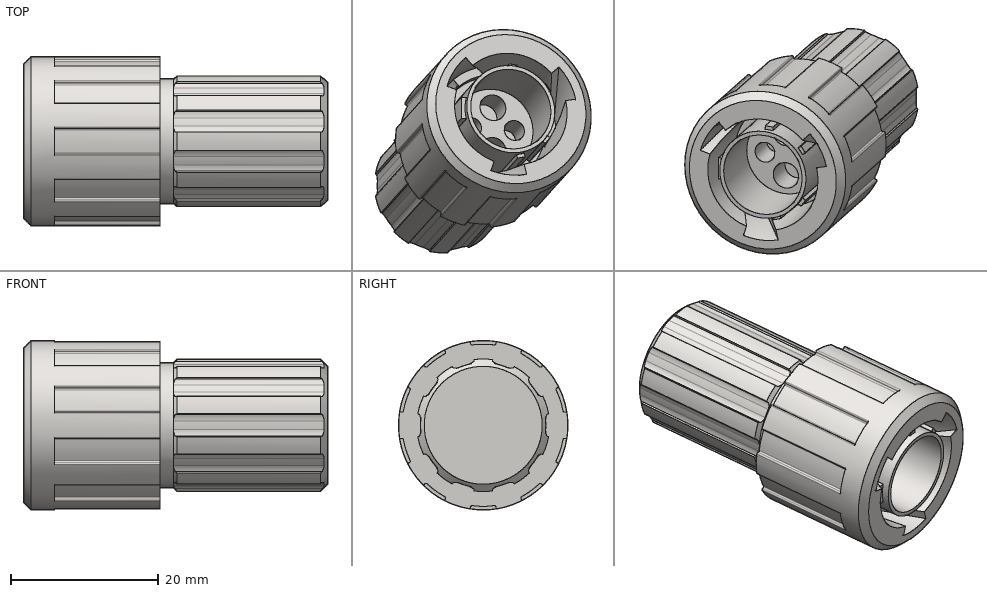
import cadquery as cq
import math


nut_length = 18.5
nut_radius = 23 / 2
nut_chamfer = 1.0

total_length = 41.25
neck_radius = 17 / 2
grip_start = 20.3
grip_radius = 18 / 2
grip_front_chamfer = grip_radius - neck_radius
grip_rear_chamfer = 1.0

grip_count = 10
grip_pitch = 360 / grip_count
pocket_start = 4.2
pocket_floor_radius = 11.0
pocket_half_width = 1.72
pocket_round = 0.21
pocket_first_angle = grip_pitch / 2
flute_relief = 0.01
flute_floor_radius = neck_radius - flute_relief
flute_floor_half_width = 0.6
flute_wall_half_width = 1.46
flute_wall_foot_rise = 0.16
flute_rim_half_width = 1.57
flute_first_angle = 0

cavity_depth = 10.0
cavity_mouth_radius = 7.87
cavity_floor_radius = 7.26
tube_outer_radius = 12.3 / 2
tube_inner_radius = 11.2 / 2

slot_count = 3
slot_first_angle = 31.8
slot_span = 31.0
slot_twist = 31.0
slot_depth = 9.0
slot_mouth_radius = 18.6 / 2
slot_end_radius = 8.55
slot_inner_radius = 6.9

key_front = 1.0
key_outer_radius = 6.65
narrow_key_width = 1.1
narrow_key_angles = (95.0, 145.0, 215.0, 255.0)
wide_key_width = 3.0
wide_key_angle = 0

contact_pitch_radius = 3.0
contact_depth = 5.0
large_contact_diameter = 3.6
small_contact_diameter = 2.8

clearance = 1.0


def height_on_circle(radius, half_width):
    """Distance from the axis to a chord of the given half width."""
    return math.sqrt(radius**2 - half_width**2)


def polar(radius, angle):
    """Point in the YZ plane, with the angle measured from +Y towards +Z."""
    return (radius * math.cos(math.radians(angle)), radius * math.sin(math.radians(angle)))


def place(shape, angle):
    """Turn a shape built around +Y to its angle about the X axis."""
    return shape.rotate((0, 0, 0), (1, 0, 0), angle)


def cut_around(body, cutter, first_angle, count):
    for index in range(count):
        body = body.cut(place(cutter, first_angle + index * 360 / count))
    return body


def revolve_about_x(outline):
    return cq.Workplane("XY").polyline(outline).close().revolve(360, (0, 0, 0), (1, 0, 0))


def make_nut_and_neck():
    outline = [
        (0, 0),
        (0, nut_radius - nut_chamfer),
        (nut_chamfer, nut_radius),
        (nut_length, nut_radius),
        (nut_length, neck_radius),
        (grip_start, neck_radius),
        (grip_start, 0),
    ]
    return revolve_about_x(outline)


def make_nut_pocket():
    """Grip pocket with rounded rims and rounded floor corners."""
    floor_half = pocket_half_width - pocket_round
    rim_half = pocket_half_width + pocket_round
    floor_height = height_on_circle(pocket_floor_radius, floor_half)
    rim_height = height_on_circle(nut_radius, rim_half)
    wall_foot = floor_height + pocket_round
    wall_top = rim_height - pocket_round
    diagonal = pocket_round * math.sqrt(0.5)
    outside = nut_radius + clearance
    return (
        cq.Workplane("YZ", origin=(pocket_start, 0, 0))
        .moveTo(floor_height, -floor_half)
        .threePointArc((pocket_floor_radius, 0), (floor_height, floor_half))
        .threePointArc((wall_foot - diagonal, floor_half + diagonal), (wall_foot, pocket_half_width))
        .lineTo(wall_top, pocket_half_width)
        .threePointArc((wall_top + diagonal, rim_half - diagonal), (rim_height, rim_half))
        .lineTo(outside, rim_half)
        .lineTo(outside, -rim_half)
        .lineTo(rim_height, -rim_half)
        .threePointArc((wall_top + diagonal, diagonal - rim_half), (wall_top, -pocket_half_width))
        .lineTo(wall_foot, -pocket_half_width)
        .threePointArc((wall_foot - diagonal, -floor_half - diagonal), (floor_height, -floor_half))
        .close()
        .extrude(nut_length - pocket_start)
    )


def turn(height, offset, angle):
    """Point given by its height and sideways offset in a frame turned to the given angle."""
    centre_y, centre_z = polar(height, angle)
    side_y, side_z = polar(offset, angle + 90)
    return (centre_y + side_y, centre_z + side_z)


def make_grip():
    """Fluted grip: each flute floor runs just below the neck and sweeps up to a steep rim on each side."""
    floor_height = height_on_circle(flute_floor_radius, flute_floor_half_width)
    foot_height = floor_height + flute_wall_foot_rise
    rim_height = height_on_circle(grip_radius, flute_rim_half_width)
    sweep_half = (flute_floor_half_width + flute_wall_half_width) / 2
    sweep_height = floor_height + flute_wall_foot_rise / 4
    section = cq.Workplane("YZ", origin=(grip_start, 0, 0)).moveTo(
        *turn(rim_height, -flute_rim_half_width, flute_first_angle)
    )
    for index in range(grip_count):
        angle = flute_first_angle + index * grip_pitch
        next_angle = angle + grip_pitch
        section = (
            section.lineTo(*turn(foot_height, -flute_wall_half_width, angle))
            .threePointArc(
                turn(sweep_height, -sweep_half, angle), turn(floor_height, -flute_floor_half_width, angle)
            )
            .threePointArc(
                polar(flute_floor_radius, angle), turn(floor_height, flute_floor_half_width, angle)
            )
            .threePointArc(
                turn(sweep_height, sweep_half, angle), turn(foot_height, flute_wall_half_width, angle)
            )
            .lineTo(*turn(rim_height, flute_rim_half_width, angle))
            .threePointArc(
                polar(grip_radius, angle + grip_pitch / 2),
                turn(rim_height, -flute_rim_half_width, next_angle),
            )
        )
    grip = section.close().extrude(total_length - grip_start)
    return grip.cut(make_grip_front_chamfer()).cut(make_grip_rear_chamfer())


def make_grip_front_chamfer():
    outside = grip_radius + clearance
    outline = [
        (grip_start, neck_radius),
        (grip_start + grip_front_chamfer + clearance, outside),
        (grip_start, outside),
    ]
    return revolve_about_x(outline)


def make_grip_rear_chamfer():
    outside = grip_radius + clearance
    outline = [
        (total_length, grip_radius - grip_rear_chamfer),
        (total_length, outside),
        (total_length - grip_rear_chamfer - clearance, outside),
    ]
    return revolve_about_x(outline)


def make_cavity():
    outline = [(0, 0), (0, cavity_mouth_radius), (cavity_depth, cavity_floor_radius), (cavity_depth, 0)]
    return revolve_about_x(outline)


def add_sector(workplane, outer_radius, centre_angle):
    """Ring sector outline of the slot section, centred on the given angle."""
    start = centre_angle - slot_span / 2
    end = centre_angle + slot_span / 2
    return (
        workplane.moveTo(*polar(slot_inner_radius, start))
        .lineTo(*polar(outer_radius, start))
        .threePointArc(polar(outer_radius, centre_angle), polar(outer_radius, end))
        .lineTo(*polar(slot_inner_radius, end))
        .close()
    )


def make_bayonet_slot():
    """Slot that turns about the axis and gets shallower towards its inner end."""
    mouth = add_sector(cq.Workplane("YZ"), slot_mouth_radius, 0)
    sections = add_sector(mouth.workplane(offset=slot_depth), slot_end_radius, slot_twist)
    return sections.loft(ruled=True)


def make_contact_tube():
    return (
        cq.Workplane("YZ")
        .circle(tube_outer_radius)
        .circle(tube_inner_radius)
        .extrude(cavity_depth)
    )


def make_key(width):
    root_radius = (tube_inner_radius + tube_outer_radius) / 2
    key = cq.Workplane("XY").box(
        cavity_depth - key_front, key_outer_radius - root_radius, width, centered=(False, False, True)
    )
    return key.translate((key_front, root_radius, 0))


def make_contact_holes(diameter, centres):
    return (
        cq.Workplane("YZ", origin=(cavity_depth, 0, 0))
        .pushPoints(centres)
        .circle(diameter / 2)
        .extrude(contact_depth)
    )


result = make_nut_and_neck()
result = cut_around(result, make_nut_pocket(), pocket_first_angle, grip_count)
result = result.union(make_grip())

result = result.cut(make_cavity())
result = cut_around(result, make_bayonet_slot(), slot_first_angle, slot_count)
result = result.union(make_contact_tube())
for key_angle in narrow_key_angles:
    result = result.union(place(make_key(narrow_key_width), key_angle))
result = result.union(place(make_key(wide_key_width), wide_key_angle))

large_centres = [(0, contact_pitch_radius), (0, -contact_pitch_radius)]
small_centres = [(contact_pitch_radius, 0), (-contact_pitch_radius, 0)]
result = result.cut(make_contact_holes(large_contact_diameter, large_centres))
result = result.cut(make_contact_holes(small_contact_diameter, small_centres))